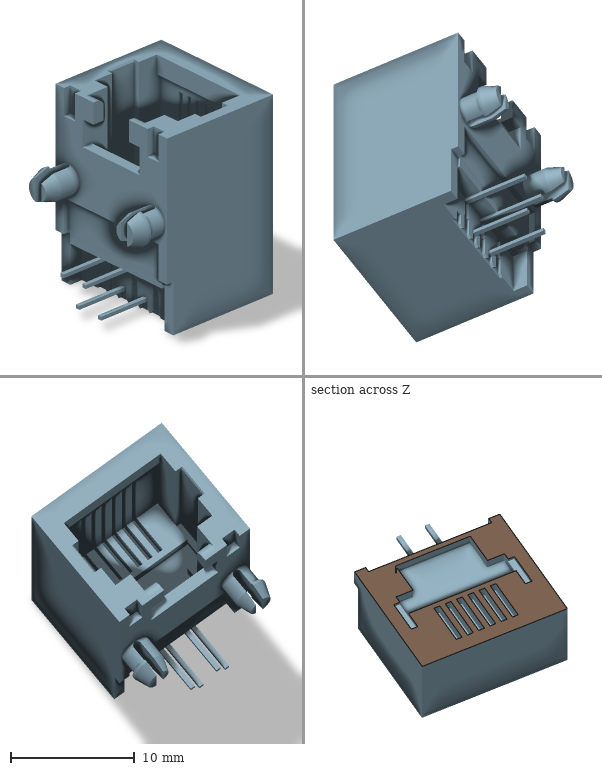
import cadquery as cq


body_width = 13.3
body_depth = 11.63
body_height = 18.03
board_setback = 0.69
foot_height = 4.81

notch_inner_x = 4.33
notch_outer_x = 5.6
notch_depth = 2.52

cavity_width = 9.88
cavity_front_y = 2.74
cavity_back_y = 9.55
cavity_floor_z = 5.4
shelf_z = 6.49
side_ledge_back_y = 4.0
contact_block_front_y = 6.0
undercut_depth = 0.41
undercut_top_z = 16.25

latch_width = 6.78
front_wall = 1.03
window_top_width = 4.22
window_sill_z = 13.5
tab_bottom_z = 16.03
tab_back_y = 1.1
tab_flat = 0.29
tab_drop = 0.47

groove_half_width = 5.5
groove_mouth_half_width = 5.63
groove_front_y = 4.65
groove_back_y = 7.6
groove_lead_in = 0.16
groove_floor_z = 5.95

contact_count = 6
contact_pitch = 1.03
contact_slot_width = 0.49
contact_slot_front_y = 6.53
contact_slot_depth = 0.32
contact_slot_top_z = 15.35

recess_width = 2 * notch_outer_x
panel_depth = 0.5
panel_top_z = 8.1
lower_wall_y = 1.95
bar_width = 10.89
bar_front_y = 0.52
bar_bottom_z = 3.84

lead_pitch = 1.26
lead_slot_depth = 0.25
short_slot_width = 0.58
tall_slot_width = 0.6
tall_slot_foot_width = 0.75
tall_slot_step_z = 1.95
slot_flare_size = 0.29

pin_width = 0.4
pin_height = 0.35
pin_root = 0.36
outer_pin_x = 1.95
inner_pin_x = 0.67
upper_pin_top_z = bar_bottom_z
lower_pin_top_z = 1.28
upper_pin_tip_y = -3.59
lower_pin_tip_y = -3.07

peg_x = 5.08
peg_z = 10.02
peg_radius = 1.33
peg_tip_radius = 0.9
barb_radius = 1.6
barb_tip_radius = 1.14
barb_start = 1.78
taper_start = 2.02
peg_length = 3.3
peg_slot_width = 0.7


def block(x_range, y_range, z_range):
    """Box spanning the given (low, high) ranges."""
    low, high = zip(x_range, y_range, z_range)
    sizes = [b - a for a, b in zip(low, high)]
    return cq.Workplane("XY").box(*sizes, centered=False).translate(low)


def centred_block(width, y_range, z_range):
    """Box centred on X = 0."""
    return block((-width / 2, width / 2), y_range, z_range)


def both_sides(shape):
    """The shape together with its mirror image across X = 0."""
    return shape.union(shape.mirror("YZ"))


def housing():
    shell = centred_block(body_width, (0, body_depth), (0, body_height))
    foot_step = centred_block(body_width, (0, board_setback), (0, foot_height))
    notch = block(
        (notch_inner_x, notch_outer_x),
        (0, board_setback),
        (body_height - notch_depth, body_height),
    )
    return shell.cut(foot_step).cut(both_sides(notch))


def side_groove():
    """Groove in the +X cavity wall, widened at its mouth by a sloped lead-in."""
    profile = [
        (cavity_width / 2, groove_floor_z),
        (groove_half_width, groove_floor_z),
        (groove_half_width, body_height - groove_lead_in),
        (groove_mouth_half_width, body_height),
        (cavity_width / 2, body_height),
    ]
    depth = groove_back_y - groove_front_y
    return (
        cq.Workplane("XZ", origin=(0, groove_back_y, 0))
        .polyline(profile)
        .close()
        .extrude(depth)
    )


def contact_slots():
    slots = cq.Workplane("XY")
    back_y = cavity_back_y + undercut_depth + contact_slot_depth
    for i in range(contact_count):
        x = (i - (contact_count - 1) / 2) * contact_pitch
        slots = slots.union(block(
            (x - contact_slot_width / 2, x + contact_slot_width / 2),
            (contact_slot_front_y, back_y),
            (cavity_floor_z, contact_slot_top_z),
        ))
    return slots


def plug_cavity():
    deep = (cavity_floor_z, body_height)
    shallow = (shelf_z, body_height)
    wide_part = centred_block(cavity_width, (side_ledge_back_y, contact_block_front_y), deep)
    over_shelves = centred_block(cavity_width, (cavity_front_y, cavity_back_y), shallow)
    undercut = centred_block(
        cavity_width,
        (cavity_back_y, cavity_back_y + undercut_depth),
        (shelf_z, undercut_top_z),
    )
    latch_channel = centred_block(latch_width, (front_wall, side_ledge_back_y), deep)
    cavity = wide_part.union(over_shelves).union(undercut).union(latch_channel)
    return cavity.union(both_sides(side_groove())).union(contact_slots())


def latch_window():
    """Opening in the front wall, including the space that the latch tabs fill."""
    return centred_block(latch_width, (0, tab_back_y), (window_sill_z, body_height))


def latch_tabs():
    """Tabs beside the window, rounded down towards the cavity."""
    tab = (
        cq.Workplane("YZ", origin=(window_top_width / 2, 0, 0))
        .moveTo(tab_back_y, tab_bottom_z)
        .lineTo(0, tab_bottom_z)
        .lineTo(0, body_height)
        .lineTo(tab_flat, body_height)
        .tangentArcPoint((tab_back_y, body_height - tab_drop), relative=False)
        .close()
        .extrude((latch_width - window_top_width) / 2)
    )
    return both_sides(tab)


def front_recess():
    panel = centred_block(recess_width, (0, panel_depth), (0, panel_top_z))
    pocket = centred_block(recess_width, (0, lower_wall_y), (0, foot_height))
    return panel.union(pocket)


def front_bar():
    """Bar bridging the upper edge of the pocket."""
    return centred_block(bar_width, (bar_front_y, lower_wall_y), (bar_bottom_z, foot_height))


def slot_flare(x, width):
    """Sloped widening where a lead slot meets the bottom face."""
    half = width / 2
    profile = [
        (-half - slot_flare_size, 0),
        (-half, slot_flare_size),
        (half, slot_flare_size),
        (half + slot_flare_size, 0),
    ]
    return (
        cq.Workplane("XZ", origin=(x, lower_wall_y + lead_slot_depth, 0))
        .polyline(profile)
        .close()
        .extrude(lead_slot_depth)
    )


def lead_slot(x, width, top_z):
    return block(
        (x - width / 2, x + width / 2),
        (lower_wall_y, lower_wall_y + lead_slot_depth),
        (0, top_z),
    )


def lead_slots():
    slots = cq.Workplane("XY")
    for i in range(contact_count):
        x = (i - (contact_count - 1) / 2) * lead_pitch
        is_tall = i % 2 == 1
        if is_tall:
            slots = slots.union(lead_slot(x, tall_slot_width, upper_pin_top_z))
            slots = slots.union(lead_slot(x, tall_slot_foot_width, tall_slot_step_z))
            slots = slots.union(slot_flare(x, tall_slot_foot_width))
        else:
            slots = slots.union(lead_slot(x, short_slot_width, lower_pin_top_z))
            slots = slots.union(slot_flare(x, short_slot_width))
    return slots


def pin(x, top_z, tip_y):
    return block(
        (x - pin_width / 2, x + pin_width / 2),
        (tip_y, lower_wall_y + lead_slot_depth + pin_root),
        (top_z - pin_height, top_z),
    )


def pins():
    upper = pin(-outer_pin_x, upper_pin_top_z, upper_pin_tip_y)
    upper = upper.union(pin(inner_pin_x, upper_pin_top_z, upper_pin_tip_y))
    lower = pin(-inner_pin_x, lower_pin_top_z, lower_pin_tip_y)
    lower = lower.union(pin(outer_pin_x, lower_pin_top_z, lower_pin_tip_y))
    return upper.union(lower)


def turned(profile):
    """Revolve (radius, distance from the front face) points about the +X peg axis."""
    return (
        cq.Workplane("XY")
        .polyline([(radius, -distance) for radius, distance in profile])
        .close()
        .revolve(360, (0, 0, 0), (0, 1, 0))
        .translate((peg_x, 0, peg_z))
    )


def snap_peg():
    """The +X peg: two halves with a gap between, the outer half carrying a barb."""
    stem = turned([
        (0, 0), (peg_radius, 0), (peg_radius, taper_start),
        (peg_tip_radius, peg_length), (0, peg_length),
    ])
    barb = turned([
        (0, barb_start), (barb_radius, barb_start), (barb_radius, taper_start),
        (barb_tip_radius, peg_length), (0, peg_length),
    ])
    z_range = (peg_z - barb_radius, peg_z + barb_radius)
    outer_side = block((peg_x, peg_x + barb_radius), (-peg_length, 0), z_range)
    half_gap = peg_slot_width / 2
    gap = block((peg_x - half_gap, peg_x + half_gap), (-peg_length, -half_gap), z_range)
    gap_end = (
        cq.Workplane("XY", origin=(peg_x, -half_gap, z_range[0]))
        .circle(half_gap)
        .extrude(2 * barb_radius)
    )
    return stem.union(barb.intersect(outer_side)).cut(gap).cut(gap_end)


result = (
    housing()
    .cut(plug_cavity())
    .cut(latch_window())
    .union(latch_tabs())
    .cut(front_recess())
    .union(front_bar())
    .cut(lead_slots())
    .union(pins())
    .union(both_sides(snap_peg()))
)